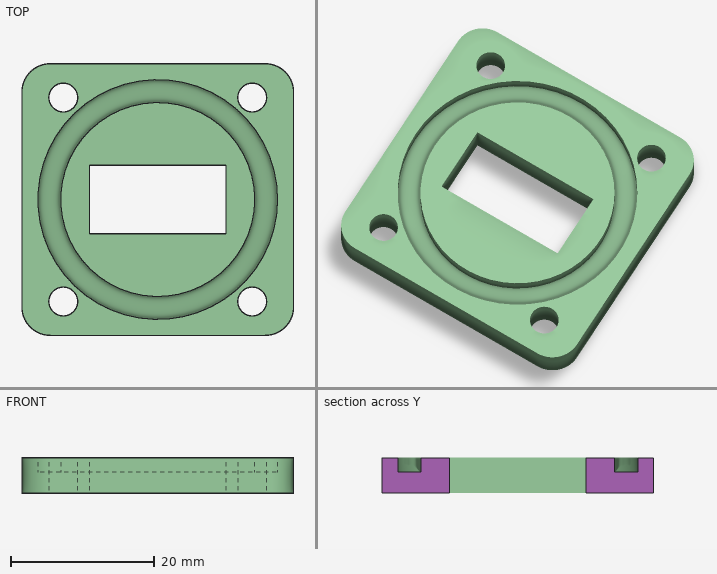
import cadquery as cq

plate_side = 38.0
plate_thickness = 5.0
corner_radius = 4.0

hole_diameter = 4.0
hole_spacing_x = 26.4
hole_spacing_y = 28.5

groove_outer_diameter = 33.5
groove_inner_diameter = 27.1
groove_depth = 2.0

opening_length = 19.05
opening_width = opening_length / 2


def make_plate():
    """Square plate with rounded vertical corners."""
    plate = cq.Workplane("XY").rect(plate_side, plate_side).extrude(plate_thickness)
    return plate.edges("|Z").fillet(corner_radius)


def make_mounting_holes():
    """Four through-hole cylinders on a rectangular pattern."""
    pattern = cq.Workplane("XY").rect(hole_spacing_x, hole_spacing_y, forConstruction=True)
    return pattern.vertices().circle(hole_diameter / 2).extrude(plate_thickness)


def make_groove():
    """Ring removed from the top face, leaving a round island inside it."""
    groove_floor = cq.Workplane("XY").workplane(offset=plate_thickness - groove_depth)
    rings = groove_floor.circle(groove_outer_diameter / 2).circle(groove_inner_diameter / 2)
    return rings.extrude(groove_depth)


def make_opening():
    """Rectangular opening through the full thickness."""
    return cq.Workplane("XY").rect(opening_length, opening_width).extrude(plate_thickness)


result = make_plate().cut(make_mounting_holes()).cut(make_groove()).cut(make_opening())